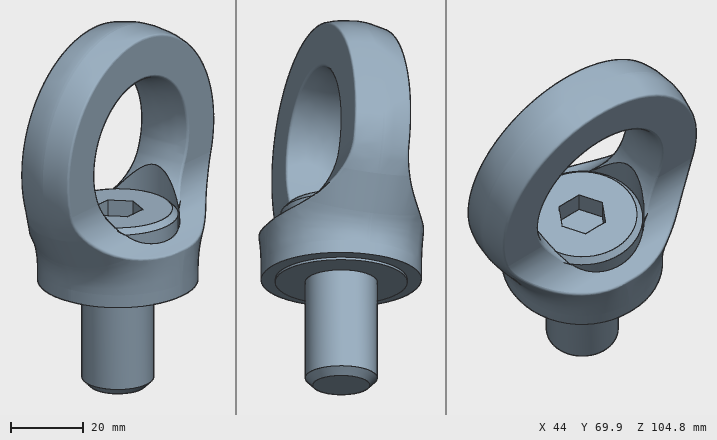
import cadquery as cq
import math

WASHER_Z = 30.2
FLANGE_Z = 30.9
BLEND_Z = 34.5
SEAT_Z = 42.0
HEAD_TOP_Z = 51.8
CHEEK_Z = 60.6
TOTAL_HEIGHT = 104.8

RING_RADIUS = 34.95
RING_Z = TOTAL_HEIGHT - RING_RADIUS
RING_HALF_WIDTH = 8.2
CHEEK_RADIUS = 16.0
BASE_RADIUS = 22.0
FLANK_RADIUS = 15.0
SHOULDER_X = 19.2
CROWN_FLAT = 0.4
CROWN_RADIUS = BASE_RADIUS - CROWN_FLAT
HOLE_RADIUS = 20.0
MOUTH_RADIUS = 23.1
HOLE_CROWN = 21.6
EDGE_FILLET = 0.7

WASHER_RADIUS = 18.2
SHANK_RADIUS = 10.0
SHANK_CHAMFER = 2.1
HEAD_RADIUS = 16.7
HEAD_CHAMFER = 1.6
POCKET_RADIUS = 17.1
HEX_FLATS = 12.0
HEX_DEPTH = 6.3


def flank_angle():
    """Tilt of the straight flank that is tangent to both the ring and the flank blend."""
    across = BASE_RADIUS + FLANK_RADIUS
    rise = RING_Z - BLEND_Z
    return math.atan2(rise, across) - math.acos((RING_RADIUS + FLANK_RADIUS) / math.hypot(across, rise))


def around(center, radius, angle):
    """Point at an angle (radians) on a circle in the YZ plane."""
    return center[0] + radius * math.cos(angle), center[1] + radius * math.sin(angle)


def opposite(point):
    """Mirror image of a YZ point across the middle of the eye."""
    return -point[0], point[1]


def rim_path(inset):
    """Body outline in the YZ plane, moved inward: up one side, over the ring and down the other."""
    tilt = flank_angle()
    blend_center = (BASE_RADIUS + FLANK_RADIUS, BLEND_Z)
    blend_radius = FLANK_RADIUS + inset
    foot = (BASE_RADIUS - inset, FLANGE_Z)
    blend_start = (BASE_RADIUS - inset, BLEND_Z)
    blend_middle = around(blend_center, blend_radius, math.pi - tilt / 2)
    blend_end = around(blend_center, blend_radius, math.pi - tilt)
    ring_radius = RING_RADIUS - inset
    ring_start = around((0, RING_Z), ring_radius, -tilt)
    return (
        cq.Workplane("YZ")
        .moveTo(*foot)
        .lineTo(*blend_start)
        .threePointArc(blend_middle, blend_end)
        .lineTo(*ring_start)
        .threePointArc((0, RING_Z + ring_radius), opposite(ring_start))
        .lineTo(*opposite(blend_end))
        .threePointArc(opposite(blend_middle), opposite(blend_start))
        .lineTo(*opposite(foot))
    )


def crowned_blank():
    """Base, flanks and ring: a crowned section carried along the rim, filled in the middle."""
    diagonal = CROWN_RADIUS * math.sqrt(0.5)
    rim = (
        cq.Workplane("XY", origin=(0, 0, FLANGE_Z))
        .moveTo(-BASE_RADIUS, CROWN_FLAT)
        .threePointArc((-CROWN_FLAT - diagonal, CROWN_FLAT + diagonal), (-CROWN_FLAT, BASE_RADIUS))
        .lineTo(CROWN_FLAT, BASE_RADIUS)
        .threePointArc((CROWN_FLAT + diagonal, CROWN_FLAT + diagonal), (BASE_RADIUS, CROWN_FLAT))
        .close()
        .sweep(rim_path(0))
    )
    core = rim_path(CROWN_RADIUS).close().extrude(BASE_RADIUS, both=True)
    envelope = cheek_envelope()
    return rim.intersect(envelope).union(core.intersect(envelope))


def cheek_envelope():
    """Side shape in the XZ plane: flat eye sides sweeping out to the sloped shoulders."""
    center_x = RING_HALF_WIDTH + CHEEK_RADIUS
    end_angle = math.acos((center_x - SHOULDER_X) / CHEEK_RADIUS)
    end_z = CHEEK_Z - CHEEK_RADIUS * math.sin(end_angle)
    mid_x = center_x - CHEEK_RADIUS * math.cos(end_angle / 2)
    mid_z = CHEEK_Z - CHEEK_RADIUS * math.sin(end_angle / 2)
    outer_x = BASE_RADIUS + 1
    outer_z = end_z - (outer_x - SHOULDER_X) / math.tan(end_angle)
    return (
        cq.Workplane("XZ")
        .moveTo(0, TOTAL_HEIGHT + 1)
        .lineTo(RING_HALF_WIDTH, TOTAL_HEIGHT + 1)
        .lineTo(RING_HALF_WIDTH, CHEEK_Z)
        .threePointArc((mid_x, mid_z), (SHOULDER_X, end_z))
        .lineTo(outer_x, outer_z)
        .lineTo(outer_x, FLANGE_Z)
        .lineTo(0, FLANGE_Z)
        .mirrorY()
        .extrude(RING_RADIUS + 1, both=True)
    )


def eye_hole():
    """Hole whose wall bulges inward to the throat."""
    hole_end = BASE_RADIUS + 1
    bulge_end = math.sqrt(HOLE_CROWN**2 - (HOLE_CROWN - (MOUTH_RADIUS - HOLE_RADIUS)) ** 2)
    return (
        cq.Workplane("XY")
        .moveTo(-hole_end, 0)
        .lineTo(-hole_end, MOUTH_RADIUS)
        .lineTo(-bulge_end, MOUTH_RADIUS)
        .threePointArc((0, HOLE_RADIUS), (bulge_end, MOUTH_RADIUS))
        .lineTo(hole_end, MOUTH_RADIUS)
        .lineTo(hole_end, 0)
        .close()
        .revolve(360, (0, 0), (1, 0))
        .translate((0, 0, RING_Z))
    )


def round_mouths(eye):
    """Round the edges where the wall of the eye meets its two sides, above the head of the bolt."""
    low_z = HEAD_TOP_Z - HEAD_CHAMFER
    high_z = RING_Z + MOUTH_RADIUS
    for side in (-1, 1):
        near = (side * (RING_HALF_WIDTH - 1), -MOUTH_RADIUS, low_z)
        far = (side * BASE_RADIUS, MOUTH_RADIUS, high_z)
        eye = eye.edges(cq.selectors.BoxSelector(near, far, boundingbox=True)).fillet(EDGE_FILLET)
    return eye


def bolt():
    """Hex socket bolt with a chamfered shank and head."""
    shank = cq.Workplane("XY").circle(SHANK_RADIUS).extrude(SEAT_Z).faces("<Z").chamfer(SHANK_CHAMFER)
    head = (
        cq.Workplane("XY", origin=(0, 0, SEAT_Z))
        .circle(HEAD_RADIUS)
        .extrude(HEAD_TOP_Z - SEAT_Z)
        .faces(">Z")
        .chamfer(HEAD_CHAMFER)
    )
    hex_socket = (
        cq.Workplane("XY", origin=(0, 0, HEAD_TOP_Z - HEX_DEPTH))
        .polygon(6, HEX_FLATS, circumscribed=True)
        .extrude(HEX_DEPTH)
    )
    return shank.union(head).cut(hex_socket)


eye = crowned_blank()
eye = eye.edges("%BSPLINE").fillet(EDGE_FILLET)
eye = round_mouths(eye.cut(eye_hole()))

pocket = cq.Workplane("XY", origin=(0, 0, SEAT_Z)).circle(POCKET_RADIUS).extrude(RING_Z - SEAT_Z)
washer = cq.Workplane("XY", origin=(0, 0, WASHER_Z)).circle(WASHER_RADIUS).extrude(FLANGE_Z - WASHER_Z)
result = eye.cut(pocket).union(washer).union(bolt())